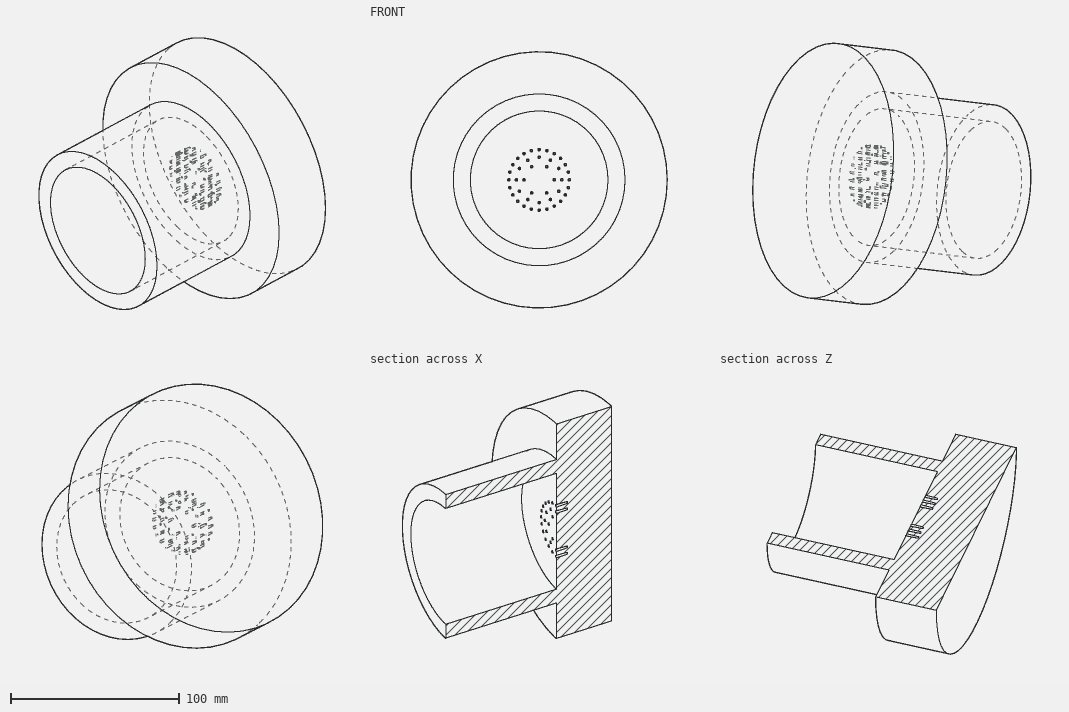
import cadquery as cq

flange_diameter = 152.4
flange_thickness = 38.1

tube_outer_diameter = 102.1
tube_bore_diameter = 81.8
tube_length = 76.2

hole_mouth_diameter = 1.5
hole_floor_diameter = 1.0
hole_depth = 7.6

ring_count = 3
inner_ring_hole_count = 6
inner_ring_radius = 9.0
ring_spacing = inner_ring_radius / 2


def make_flange():
    return cq.Workplane("XZ").circle(flange_diameter / 2).extrude(-flange_thickness)


def make_tube():
    return (
        cq.Workplane("XZ")
        .circle(tube_outer_diameter / 2)
        .circle(tube_bore_diameter / 2)
        .extrude(tube_length)
    )


def make_tapered_hole(location):
    """Cone frustum narrowing from the flange face toward +Y."""
    frustum = cq.Solid.makeCone(
        hole_mouth_diameter / 2,
        hole_floor_diameter / 2,
        hole_depth,
        dir=cq.Vector(0, 1, 0),
    )
    return frustum.moved(location)


def make_hole_ring(radius, count):
    """Equally spaced tapered holes, the first one on the +X axis."""
    holes = []
    for index in range(count):
        turn = cq.Location(cq.Vector(0, 0, 0), cq.Vector(0, 1, 0), 360 * index / count)
        holes.append(make_tapered_hole(turn * cq.Location(cq.Vector(radius, 0, 0))))
    return cq.Workplane(cq.Compound.makeCompound(holes))


result = make_flange().union(make_tube())

for ring in range(ring_count):
    ring_radius = inner_ring_radius + ring * ring_spacing
    ring_hole_count = inner_ring_hole_count * 2**ring
    result = result.cut(make_hole_ring(ring_radius, ring_hole_count))